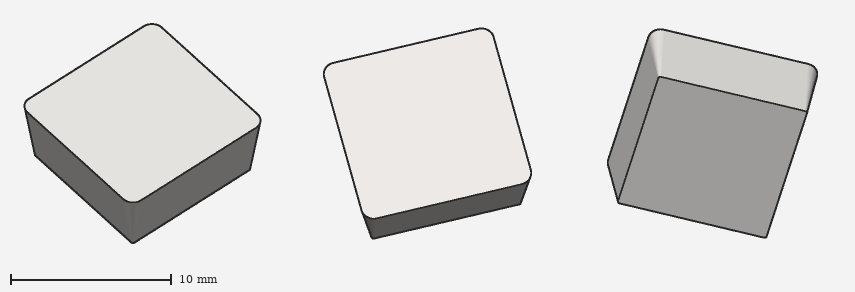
import cadquery as cq

side = 10.89
thickness = 4.6
corner_radius = 0.8
relief_angle = 8.0

top_outline = cq.Sketch().rect(side, side).vertices().fillet(corner_radius)

result = (
    cq.Workplane("XY")
    .workplane(offset=thickness)
    .placeSketch(top_outline)
    .extrude(-thickness, taper=relief_angle)
)